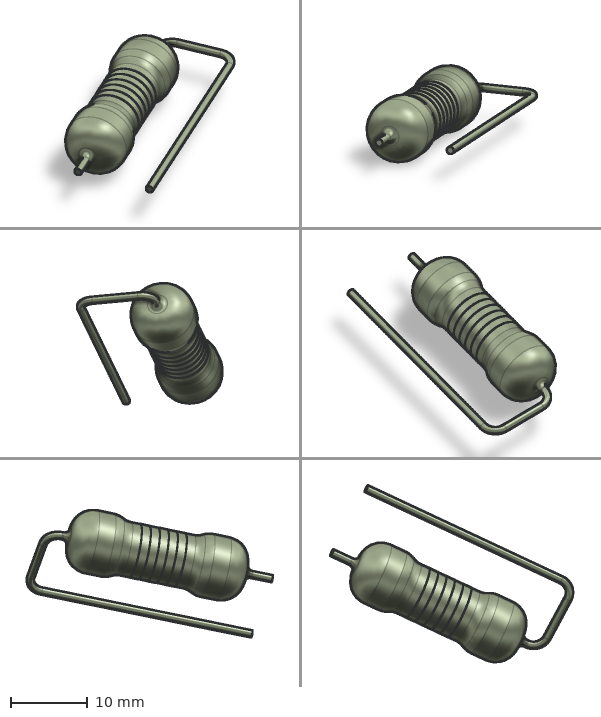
import cadquery as cq
import math

total_length = 30.9
wire_diameter = 1.0
lead_spacing = 10.0
bend_radius = 1.98

body_start = 3.6
body_length = 23.82
cap_diameter = 8.4
cap_straight = 2.22
dome_radius = 3.0
foot_radius = 0.83
waist_diameter = 7.15
band_diameter = 7.17
band_slots = 7

wire_radius = wire_diameter / 2
cap_radius = cap_diameter / 2
waist_radius = waist_diameter / 2
body_end = body_start + body_length
return_y = total_length - wire_radius

slot_length = (body_length - 2 * (dome_radius + cap_straight)) / (band_slots + 4)
waist_start = body_start + dome_radius + cap_straight + 2 * slot_length


def make_body_half():
    """Revolve the profile from the lead flare to the middle of the waist."""
    foot_outer = wire_radius + foot_radius
    dome_center_r = cap_radius - dome_radius
    dome_end = body_start + dome_radius
    foot_y = dome_end - math.sqrt(dome_radius**2 - (foot_outer - dome_center_r)**2)
    flare_start = foot_y - foot_radius
    diagonal = math.sqrt(0.5)

    neck_start = dome_end + cap_straight
    neck_middle = neck_start + slot_length
    arc_step = (cap_radius - waist_radius) / 2
    middle_radius = cap_radius - arc_step
    neck_radius = (slot_length**2 + arc_step**2) / (2 * arc_step)
    half_sweep = math.asin(slot_length / neck_radius) / 2
    arc_drop = neck_radius * (1 - math.cos(half_sweep))
    arc_advance = neck_radius * math.sin(half_sweep)

    foot_mid = (foot_outer - foot_radius * diagonal, flare_start + foot_radius * diagonal)
    dome_mid = (dome_center_r + dome_radius * diagonal, dome_end - dome_radius * diagonal)
    outer_neck_mid = (cap_radius - arc_drop, neck_start + arc_advance)
    inner_neck_mid = (waist_radius + arc_drop, waist_start - arc_advance)
    body_middle = body_start + body_length / 2

    return (
        cq.Workplane("XY")
        .moveTo(0, flare_start)
        .lineTo(wire_radius, flare_start)
        .threePointArc(foot_mid, (foot_outer, foot_y))
        .threePointArc(dome_mid, (cap_radius, dome_end))
        .lineTo(cap_radius, neck_start)
        .threePointArc(outer_neck_mid, (middle_radius, neck_middle))
        .threePointArc(inner_neck_mid, (waist_radius, waist_start))
        .lineTo(waist_radius, body_middle)
        .lineTo(0, body_middle)
        .close()
        .revolve(360, (0, 0, 0), (0, 1, 0))
    )


def cylinder_along_y(diameter, start, length):
    return cq.Workplane("XZ", origin=(0, start, 0)).circle(diameter / 2).extrude(-length)


def make_folded_lead():
    """Sweep the wire out of the body's far end and back beside the body."""
    bend_start = return_y - bend_radius
    diagonal_gap = bend_radius * (1 - math.sqrt(0.5))
    path = (
        cq.Workplane("XY")
        .moveTo(0, body_end - foot_radius)
        .lineTo(0, bend_start)
        .threePointArc((diagonal_gap, return_y - diagonal_gap), (bend_radius, return_y))
        .lineTo(lead_spacing - bend_radius, return_y)
        .threePointArc(
            (lead_spacing - diagonal_gap, return_y - diagonal_gap),
            (lead_spacing, bend_start),
        )
        .lineTo(lead_spacing, 0)
    )
    profile = cq.Workplane("XZ", origin=(0, body_end - foot_radius, 0)).circle(wire_radius)
    return profile.sweep(path)


near_half = make_body_half()
far_half = near_half.mirror("XZ", (0, body_start + body_length / 2, 0))
result = near_half.union(far_half)

for slot in range(1, band_slots, 2):
    band_start = waist_start + slot * slot_length
    result = result.union(cylinder_along_y(band_diameter, band_start, slot_length))

straight_lead = cylinder_along_y(wire_diameter, 0, body_start + foot_radius)
result = result.union(straight_lead).union(make_folded_lead())